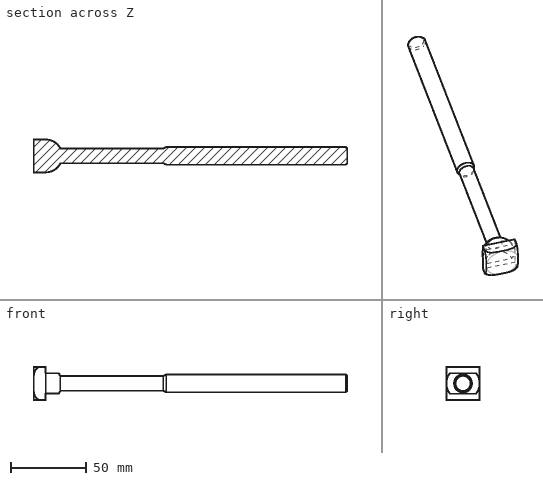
import cadquery as cq
import math

TOTAL_LENGTH = 208.0
HEAD_SIDE = 22.0
HEAD_THICKNESS = 8.0
NECK_WIDTH = 13.5
SHANK_DIAMETER = 10.0
THREAD_DIAMETER = 12.0
THREAD_LENGTH = 120.0
RUNOUT_LENGTH = 2.0
TIP_CHAMFER_LENGTH = 1.2
TIP_DIAMETER = 10.0

face_radius = HEAD_SIDE / 2
corner_radius = face_radius * math.sqrt(2)
head_rounding = corner_radius - face_radius
neck_radius = HEAD_SIDE / 2
shank_radius = SHANK_DIAMETER / 2
thread_radius = THREAD_DIAMETER / 2
tip_radius = TIP_DIAMETER / 2
thread_start = TOTAL_LENGTH - THREAD_LENGTH


def make_head():
    """Square head whose corners are rounded off toward the end face, as if turned around the X axis."""
    block = cq.Workplane("XY").box(HEAD_THICKNESS, HEAD_SIDE, HEAD_SIDE, centered=(False, True, True))
    rounded_disc = (
        cq.Workplane("XY")
        .moveTo(0, 0)
        .lineTo(0, face_radius)
        .radiusArc((head_rounding, corner_radius), head_rounding)
        .lineTo(HEAD_THICKNESS, corner_radius)
        .lineTo(HEAD_THICKNESS, 0)
        .close()
        .revolve(360, (0, 0, 0), (1, 0, 0))
    )
    return block.intersect(rounded_disc)


def make_neck():
    """Half ball behind the head, cut flat on both Z sides."""
    ball = cq.Workplane("XY").sphere(neck_radius).translate((HEAD_THICKNESS, 0, 0))
    slab = (
        cq.Workplane("XY")
        .box(neck_radius, HEAD_SIDE, NECK_WIDTH, centered=(False, True, True))
        .translate((HEAD_THICKNESS, 0, 0))
    )
    return ball.intersect(slab)


def make_rod():
    """Shank and thread as one turned profile, starting at the back of the head."""
    profile = [
        (HEAD_THICKNESS, 0),
        (HEAD_THICKNESS, shank_radius),
        (thread_start - RUNOUT_LENGTH, shank_radius),
        (thread_start, thread_radius),
        (TOTAL_LENGTH - TIP_CHAMFER_LENGTH, thread_radius),
        (TOTAL_LENGTH, tip_radius),
        (TOTAL_LENGTH, 0),
    ]
    return cq.Workplane("XY").polyline(profile).close().revolve(360, (0, 0, 0), (1, 0, 0))


result = make_head().union(make_neck()).union(make_rod())